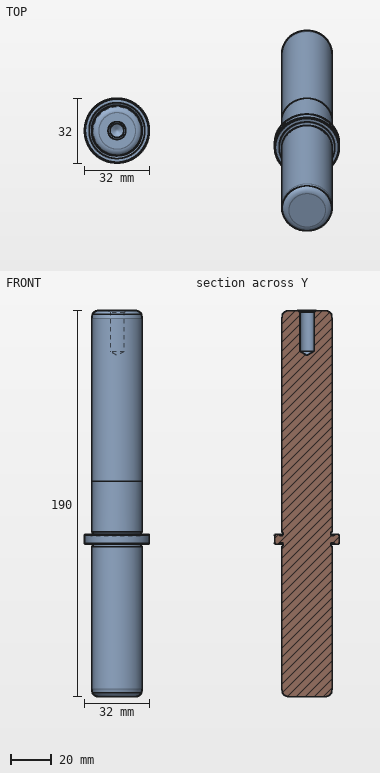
import cadquery as cq
import math

lower_length = 75.0
collar_height = 5.0
upper_length = 110.0
fit_length = 26.0

pin_radius = 12.5
running_clearance = 0.01
collar_radius = 16.0
collar_chamfer = 0.5

end_arc_radius = 3.5
end_arc_height = 2.0
end_face_radius = 9.0
lead_height = 3.9

undercut_width = 1.25
undercut_wall_offset = 0.45

hole_radius = 3.4
hole_depth = 20.0
countersink_radius = 4.4
drill_point_angle = math.radians(118)

collar_bottom = lower_length
collar_top = collar_bottom + collar_height
fit_top = collar_top + fit_length
total_length = collar_top + upper_length
running_radius = pin_radius - running_clearance


def end_arc_point(angle):
    """Radius and depth below the end face on the end arc, at an angle from its tangent start."""
    radius = end_face_radius + end_arc_radius * math.sin(angle)
    depth = end_arc_radius * (1 - math.cos(angle))
    return radius, depth


def make_pin():
    """Revolve the collared pin, with both undercuts, about Z."""
    end_arc_angle = math.acos(1 - end_arc_height / end_arc_radius)
    mid_radius, mid_depth = end_arc_point(end_arc_angle / 2)
    lead_radius, lead_start = end_arc_point(end_arc_angle)
    chamfer_radius = collar_radius - collar_chamfer
    groove_outer_radius = pin_radius + undercut_width
    wall_inner_radius = pin_radius - undercut_wall_offset
    wall_outer_radius = groove_outer_radius - undercut_wall_offset
    bulge = undercut_width / 2
    bottom_radius = (wall_inner_radius + wall_outer_radius) / 2 - bulge
    lower_undercut_start = collar_bottom - undercut_width
    upper_undercut_end = collar_top + undercut_width
    profile = (
        cq.Workplane("XZ")
        .moveTo(0, 0)
        .lineTo(end_face_radius, 0)
        .threePointArc((mid_radius, mid_depth), (lead_radius, lead_start))
        .lineTo(pin_radius, lead_height)
        .lineTo(pin_radius, lower_undercut_start)
        .lineTo(wall_inner_radius, lower_undercut_start + undercut_wall_offset)
        .threePointArc(
            (bottom_radius, collar_bottom + undercut_wall_offset),
            (wall_outer_radius, collar_bottom + undercut_wall_offset),
        )
        .lineTo(groove_outer_radius, collar_bottom)
        .lineTo(chamfer_radius, collar_bottom)
        .lineTo(collar_radius, collar_bottom + collar_chamfer)
        .lineTo(collar_radius, collar_top - collar_chamfer)
        .lineTo(chamfer_radius, collar_top)
        .lineTo(groove_outer_radius, collar_top)
        .lineTo(wall_outer_radius, collar_top - undercut_wall_offset)
        .threePointArc(
            (bottom_radius, collar_top - undercut_wall_offset),
            (wall_inner_radius, upper_undercut_end - undercut_wall_offset),
        )
        .lineTo(pin_radius, upper_undercut_end)
        .lineTo(pin_radius, fit_top)
        .lineTo(running_radius, fit_top)
        .lineTo(running_radius, total_length - lead_height)
        .lineTo(lead_radius, total_length - lead_start)
        .threePointArc((mid_radius, total_length - mid_depth), (end_face_radius, total_length))
        .lineTo(0, total_length)
        .close()
    )
    return profile.revolve(360, (0, 0, 0), (0, 1, 0))


def make_hole():
    """Countersunk blind hole with a conical drill point."""
    countersink_depth = countersink_radius - hole_radius
    point_height = hole_radius / math.tan(drill_point_angle / 2)
    hole_bottom = total_length - hole_depth
    profile = (
        cq.Workplane("XZ")
        .moveTo(0, total_length)
        .lineTo(countersink_radius, total_length)
        .lineTo(hole_radius, total_length - countersink_depth)
        .lineTo(hole_radius, hole_bottom)
        .lineTo(0, hole_bottom - point_height)
        .close()
    )
    return profile.revolve(360, (0, 0, 0), (0, 1, 0))


result = make_pin().cut(make_hole())